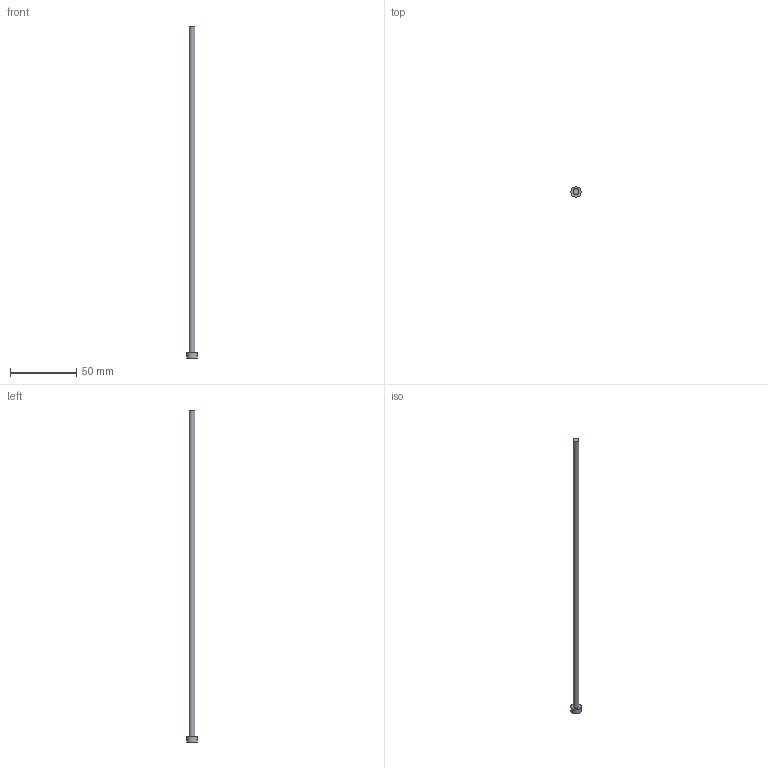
import cadquery as cq

total_length = 250.0
head_diameter = 8.0
head_height = 4.0
shaft_diameter = 4.5


def make_head():
    """Round head standing on the XY plane, centred on the Z axis."""
    return cq.Workplane("XY").circle(head_diameter / 2).extrude(head_height)


def add_shaft(head):
    """Plain round shaft rising from the top of the head to the full length."""
    shaft_length = total_length - head_height
    return head.faces(">Z").workplane().circle(shaft_diameter / 2).extrude(shaft_length)


result = add_shaft(make_head())